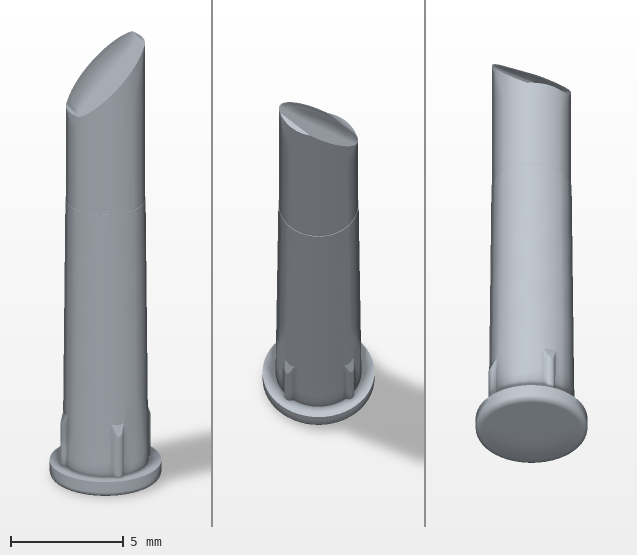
import cadquery as cq

flange_radius = 2.498
flange_height = 0.75
flange_edge_radius = 0.25

sleeve_base_radius = 1.92
sleeve_top_radius = 1.8
sleeve_top_z = 13.5
tip_radius = 1.77

total_height = 21.08
bevel_half_depth = 1.52
bevel_low_z = total_height - 2 * bevel_half_depth

rib_count = 4
rib_outer_radius = 2.09
rib_shoulder_radius = 1.95
rib_root_radius = 1.69
rib_root_half_width = 0.3
rib_shoulder_half_width = 0.21
rib_flare_radius = 1.88
rib_outer_top_z = 2.75
rib_inner_top_z = 3.29


def make_flange():
    disc = cq.Workplane("XY").circle(flange_radius).extrude(flange_height)
    return disc.faces("<Z").edges().fillet(flange_edge_radius)


def make_shaft():
    """Tapered sleeve with a small step to the straight tip."""
    return (
        cq.Workplane("XZ")
        .moveTo(0, flange_height)
        .lineTo(sleeve_base_radius, flange_height)
        .lineTo(sleeve_top_radius, sleeve_top_z)
        .lineTo(tip_radius, sleeve_top_z)
        .lineTo(tip_radius, total_height)
        .lineTo(0, total_height)
        .close()
        .revolve(360, (0, 0, 0), (0, 1, 0))
    )


def make_bevel_cutter():
    """Everything above the bevel, rising toward +Y."""
    reach = 2 * tip_radius
    return (
        cq.Workplane("YZ")
        .moveTo(-reach, bevel_low_z)
        .lineTo(-bevel_half_depth, bevel_low_z)
        .lineTo(bevel_half_depth, total_height)
        .lineTo(-reach, total_height)
        .close()
        .extrude(reach, both=True)
    )


def make_rib():
    """Round-nosed rib on the +X side, its top sloping down outward."""
    section = (
        cq.Workplane("XY")
        .workplane(offset=flange_height)
        .moveTo(rib_root_radius, -rib_root_half_width)
        .lineTo(rib_flare_radius, -rib_root_half_width)
        .lineTo(rib_shoulder_radius, -rib_shoulder_half_width)
        .threePointArc((rib_outer_radius, 0), (rib_shoulder_radius, rib_shoulder_half_width))
        .lineTo(rib_flare_radius, rib_root_half_width)
        .lineTo(rib_root_radius, rib_root_half_width)
        .close()
        .extrude(rib_inner_top_z - flange_height)
    )
    side_profile = (
        cq.Workplane("XZ")
        .moveTo(rib_root_radius, flange_height)
        .lineTo(rib_outer_radius, flange_height)
        .lineTo(rib_outer_radius, rib_outer_top_z)
        .lineTo(rib_flare_radius, rib_inner_top_z)
        .lineTo(rib_root_radius, rib_inner_top_z)
        .close()
        .extrude(rib_root_half_width, both=True)
    )
    return section.intersect(side_profile)


result = make_flange().union(make_shaft().cut(make_bevel_cutter()))
rib = make_rib()
for index in range(rib_count):
    angle = index * 360 / rib_count
    result = result.union(rib.rotate((0, 0, 0), (0, 0, 1), angle))